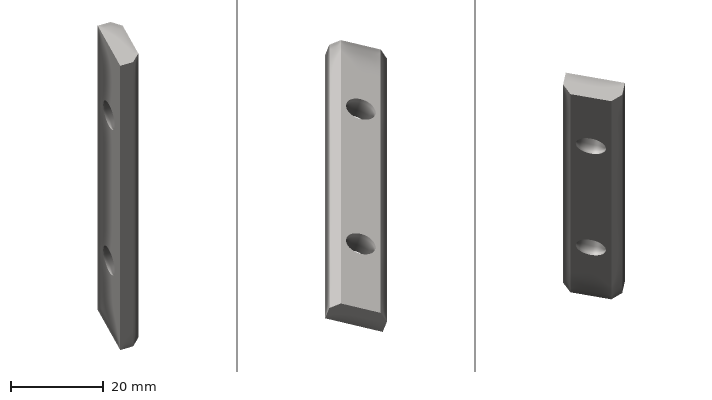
import cadquery as cq

width = 13.0
thickness = 5.0
length = 88.0
edge_chamfer = 2.0

hole_diameter = 6.65
hole_spacing = 45.0


def chamfered_bar():
    """Bar centred on the origin, with its two long +Y edges chamfered."""
    bar = cq.Workplane("XY").box(width, thickness, length)
    return bar.faces(">Y").edges("|Z").chamfer(edge_chamfer)


def drill_holes(bar):
    """Drill the two holes from the front face right through the bar."""
    half_spacing = hole_spacing / 2
    return (
        bar.faces("<Y")
        .workplane(origin=(0, 0, 0))
        .pushPoints([(0, -half_spacing), (0, half_spacing)])
        .hole(hole_diameter)
    )


result = drill_holes(chamfered_bar())